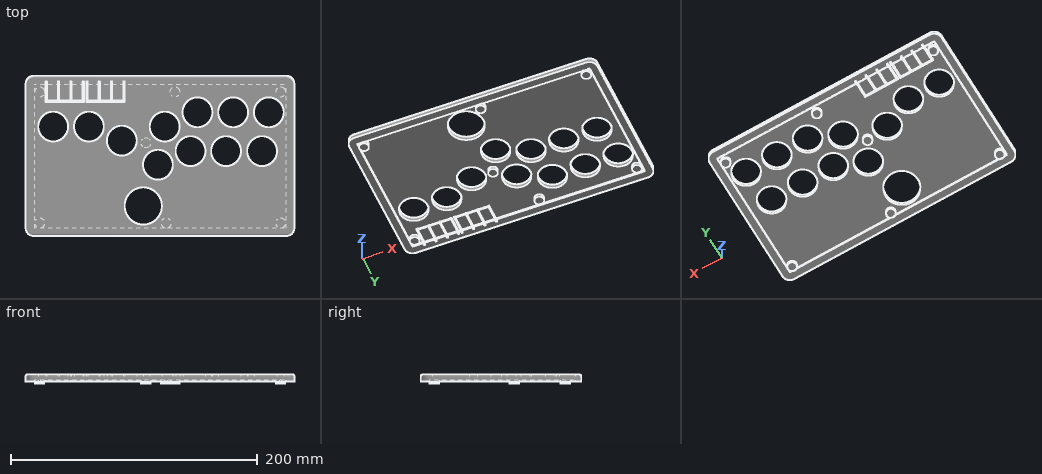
import cadquery as cq

length = 218.0
width = 130.1
overall_height = 7.7
foot_height = 1.6
thickness = overall_height - foot_height
corner_radius = 7.0
top_edge_radius = 2.0

recess_depth = 1.6
rim_width = 7.0

button_diameter = 24.0
large_button_diameter = 30.0
left_row_y = 23.75
upper_row_y = 35.3
lower_row_y = 3.85
button_centres = [
    (-86.55, left_row_y),
    (-57.6, left_row_y),
    (-30.95, 12.35),
    (3.8, left_row_y),
    (30.35, upper_row_y),
    (59.25, upper_row_y),
    (88.15, upper_row_y),
    (-1.7, -7.15),
    (24.75, lower_row_y),
    (53.5, lower_row_y),
    (82.7, lower_row_y),
]
large_button_centre = (-13.55, -40.55)

slot_width = 1.0
key_pitch = 10.0
keys_per_comb = 3
comb_gap = 2.0
comb_count = 2
comb_left_x = -92.7
comb_top_y = 60.3
comb_height = 16.6
comb_bottom_y = comb_top_y - comb_height
comb_width = keys_per_comb * key_pitch + slot_width

foot_diameter = 8.0
foot_side_x = 97.6
foot_rear_y = 52.0
foot_front_y = -54.2
foot_centres = [
    (-foot_side_x, foot_rear_y),
    (foot_side_x, foot_rear_y),
    (-foot_side_x, foot_front_y),
    (foot_side_x, foot_front_y),
    (11.9, foot_rear_y),
    (-11.6, 10.8),
    (4.8, foot_front_y),
]


def make_plate():
    """Rectangular plate with rounded corners and a rounded top edge."""
    plate = cq.Workplane("XY").box(length, width, thickness, centered=(True, True, False))
    plate = plate.edges("|Z").fillet(corner_radius)
    return plate.faces(">Z").edges().fillet(top_edge_radius)


def make_recess():
    """Cutter for the shallow rectangular recess inside the rim."""
    recess_length = length - 2 * rim_width
    recess_width = width - 2 * rim_width
    return cq.Workplane("XY").box(recess_length, recess_width, recess_depth, centered=(True, True, False))


def make_feet():
    """Round feet from the recess floor down to the lowest point of the part."""
    return (
        cq.Workplane("XY")
        .workplane(offset=recess_depth)
        .pushPoints(foot_centres)
        .circle(foot_diameter / 2)
        .extrude(-(recess_depth + foot_height))
    )


def make_button_holes():
    """Cutters for the button holes, which pass through the plate."""
    holes = cq.Workplane("XY").pushPoints(button_centres).circle(button_diameter / 2).extrude(thickness)
    large_hole = (
        cq.Workplane("XY")
        .center(*large_button_centre)
        .circle(large_button_diameter / 2)
        .extrude(thickness)
    )
    return holes.union(large_hole)


def slot_box(left_x, size_x, size_y):
    """Through cutter whose lower left corner lies on the comb's bottom line."""
    box = cq.Workplane("XY").box(size_x, size_y, thickness, centered=False)
    return box.translate((left_x, comb_bottom_y, 0))


def make_comb(left_x):
    """One bottom slot with a slot rising from it on either side of every key."""
    comb = slot_box(left_x, comb_width, slot_width)
    for index in range(keys_per_comb + 1):
        comb = comb.union(slot_box(left_x + index * key_pitch, slot_width, comb_height))
    return comb


result = make_plate().cut(make_recess()).union(make_feet()).cut(make_button_holes())
for comb_index in range(comb_count):
    result = result.cut(make_comb(comb_left_x + comb_index * (comb_width + comb_gap)))